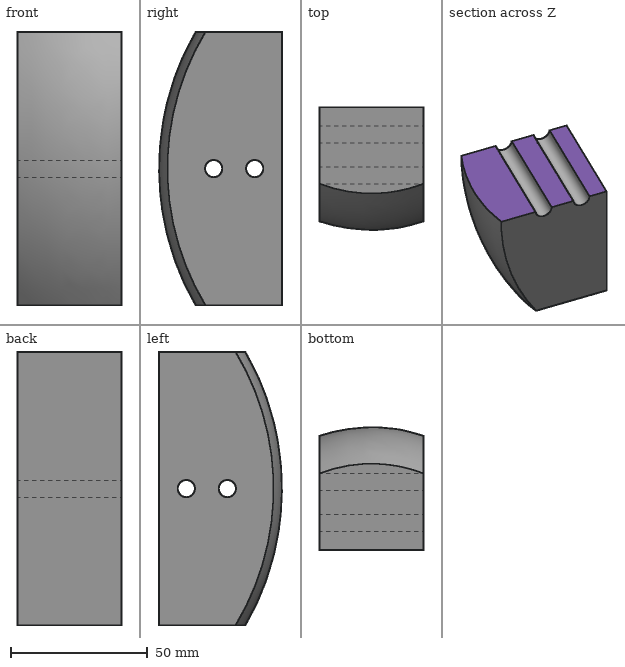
import cadquery as cq

width = 38.1
depth = 45.0
height = 100.0
crown_radius = 100.0
edge_drop = 3.1
hole_diameter = 6.2
hole_offsets = (10.0, 25.0)

half_width = width / 2
axis_y = crown_radius - depth
edge_y = edge_drop - depth


def make_block():
    """Plain block with a flat back, centred on X and Z."""
    return cq.Workplane("XY").box(width, depth, height).translate((0, -depth / 2, 0))


def make_crown():
    """Barrel whose arched profile is revolved about the crown axis."""
    return (
        cq.Workplane("XY")
        .moveTo(-half_width, axis_y)
        .lineTo(-half_width, edge_y)
        .threePointArc((0, -depth), (half_width, edge_y))
        .lineTo(half_width, axis_y)
        .close()
        .revolve(360, (-half_width, axis_y), (half_width, axis_y))
    )


def make_cross_holes():
    """Pair of holes running through the full width at mid-height."""
    return (
        cq.Workplane("YZ")
        .workplane(offset=-half_width)
        .pushPoints([(-offset, 0) for offset in hole_offsets])
        .circle(hole_diameter / 2)
        .extrude(width)
    )


result = make_block().intersect(make_crown()).cut(make_cross_holes())